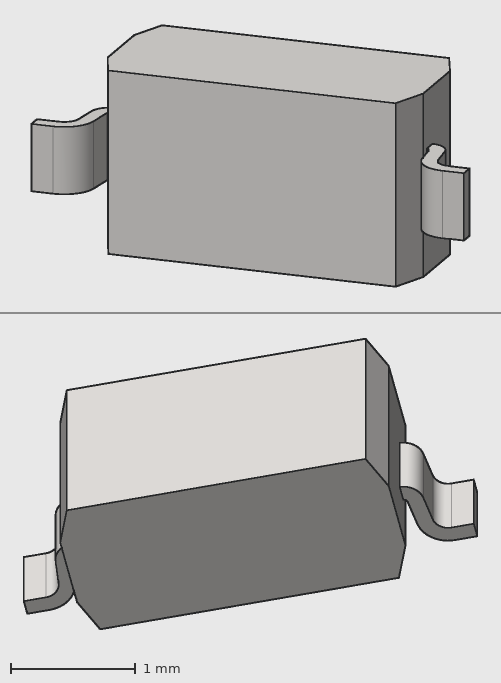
import cadquery as cq
import math

overall_length = 3.7
overall_depth = 1.35
body_height = 1.55

body_length = 2.7
body_depth = 1.25
end_taper_length = 0.122
end_taper_depth = body_depth / 4

lead_thickness = 0.135
lead_width = 0.57
lead_rise = 0.63
shoulder_inner_radius = 0.037
shoulder_inset = 0.007
foot_inner_radius = 0.13
leg_tilt = math.radians(6.4)

shoulder_outer_radius = shoulder_inner_radius + lead_thickness
foot_outer_radius = foot_inner_radius + lead_thickness
foot_bottom = body_depth / 2 - overall_depth


def make_housing():
    """Block whose two ends taper towards the front and back faces."""
    half_length = body_length / 2
    half_depth = body_depth / 2
    flat_half_length = half_length - end_taper_length
    end_half_depth = half_depth - end_taper_depth
    outline = [
        (-flat_half_length, -half_depth),
        (flat_half_length, -half_depth),
        (half_length, -end_half_depth),
        (half_length, end_half_depth),
        (flat_half_length, half_depth),
        (-flat_half_length, half_depth),
        (-half_length, end_half_depth),
        (-half_length, -end_half_depth),
    ]
    return cq.Workplane("XY").polyline(outline).close().extrude(body_height / 2, both=True)


def point_on_circle(center, radius, angle):
    return (center[0] + radius * math.cos(angle), center[1] + radius * math.sin(angle))


def make_left_lead():
    """Gull-wing lead: a foot, a tilted leg and a shoulder that meets the housing end."""
    shoulder_center = (
        shoulder_inset - body_length / 2,
        foot_bottom + lead_rise - shoulder_outer_radius,
    )
    foot_center_y = foot_bottom + foot_outer_radius

    center_rise = shoulder_center[1] - foot_center_y
    tangent_distance = foot_inner_radius + shoulder_outer_radius
    center_run = (tangent_distance + center_rise * math.sin(leg_tilt)) / math.cos(leg_tilt)
    foot_center = (shoulder_center[0] - center_run, foot_center_y)

    down = -math.pi / 2
    up = math.pi / 2
    foot_leg = -leg_tilt
    foot_middle = (down + foot_leg) / 2
    shoulder_leg = math.pi - leg_tilt
    shoulder_middle = (up + shoulder_leg) / 2

    foot_tip = -overall_length / 2
    profile = (
        cq.Workplane("XY")
        .moveTo(foot_tip, foot_bottom)
        .lineTo(*point_on_circle(foot_center, foot_outer_radius, down))
        .threePointArc(
            point_on_circle(foot_center, foot_outer_radius, foot_middle),
            point_on_circle(foot_center, foot_outer_radius, foot_leg),
        )
        .lineTo(*point_on_circle(shoulder_center, shoulder_inner_radius, shoulder_leg))
        .threePointArc(
            point_on_circle(shoulder_center, shoulder_inner_radius, shoulder_middle),
            point_on_circle(shoulder_center, shoulder_inner_radius, up),
        )
        .lineTo(*point_on_circle(shoulder_center, shoulder_outer_radius, up))
        .threePointArc(
            point_on_circle(shoulder_center, shoulder_outer_radius, shoulder_middle),
            point_on_circle(shoulder_center, shoulder_outer_radius, shoulder_leg),
        )
        .lineTo(*point_on_circle(foot_center, foot_inner_radius, foot_leg))
        .threePointArc(
            point_on_circle(foot_center, foot_inner_radius, foot_middle),
            point_on_circle(foot_center, foot_inner_radius, down),
        )
        .lineTo(foot_tip, foot_bottom + lead_thickness)
        .close()
    )
    return profile.extrude(lead_width / 2, both=True)


housing = make_housing()

leads = []
for mirrored in (False, True):
    lead = make_left_lead()
    if mirrored:
        lead = lead.mirror("YZ")
    leads.append(lead.cut(housing).solids().val())

result = cq.Compound.makeCompound([housing.val(), *leads])